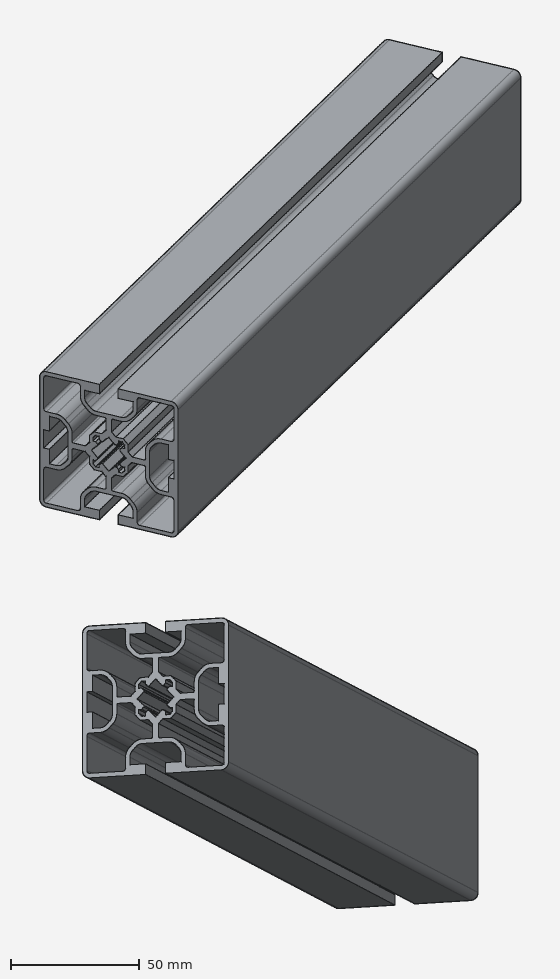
import cadquery as cq
import math

length = 300.0
side = 60.0
half_side = side / 2
wall = 1.8
outer_radius = 3.0

slot_half_width = 4.05
lip_thickness = 4.2
channel_half_width = 10.5
channel_depth = 12.3
channel_chamfer = 3.5
channel_radius = 3.5
lip_height = half_side - lip_thickness
channel_floor = half_side - channel_depth

web_half_width = 1.25
core_half_width = 8.5
core_chamfer = 2.0
web_root_chamfer = 1.8
web_tip_radius = 0.5
lip_root_radius = 1.2

valley_height = 7.5
tooth_tip_start = 2.7
tooth_tip_end = 3.3
tooth_tip_height = 4.8
tooth_side_offset = 4.2
tooth_shoulder_height = 5.7
pocket_half_width = 7.0
pocket_chamfer = 1.2

QUARTER_TURNS = (0, 90, 180, 270)


def rounded_prism(corners):
    """Extrude a closed outline of (x, z, radius) corners over the full length; radius 0 stays sharp."""
    path = []
    for i, (x, z, radius) in enumerate(corners):
        corner = cq.Vector(x, z)
        if radius == 0:
            path.append((corner, None, corner))
            continue
        before = (cq.Vector(*corners[i - 1][:2]) - corner).normalized()
        after = (cq.Vector(*corners[(i + 1) % len(corners)][:2]) - corner).normalized()
        half_angle = before.getAngle(after) / 2
        setback = radius / math.tan(half_angle)
        apex_distance = radius / math.sin(half_angle) - radius
        apex = corner + (before + after).normalized() * apex_distance
        path.append((corner + before * setback, apex, corner + after * setback))

    outline = cq.Workplane("XZ").moveTo(*path[0][2].toTuple()[:2])
    for start, apex, end in path[1:] + path[:1]:
        outline = outline.lineTo(*start.toTuple()[:2])
        if apex is not None:
            outline = outline.threePointArc(apex.toTuple()[:2], end.toTuple()[:2])
    return outline.close().extrude(length / 2, both=True)


def turned(shape, angle):
    """Rotate a shape about the lengthwise axis of the extrusion."""
    return shape.rotate((0, 0, 0), (0, 1, 0), angle)


def channel(slot_top):
    """Channel on the +Z side, with its slot reaching up to slot_top."""
    right_half = [
        (channel_half_width - channel_chamfer, channel_floor, channel_radius),
        (channel_half_width, channel_floor + channel_chamfer, channel_radius),
        (channel_half_width, lip_height, 0),
        (slot_half_width, lip_height, 0),
        (slot_half_width, slot_top, 0),
    ]
    left_half = [(-x, z, radius) for x, z, radius in reversed(right_half)]
    return rounded_prism(right_half + left_half)


def corner_cavity():
    """Cavity in the +X +Z corner, symmetric about the diagonal from core to outer corner."""
    inner_face = half_side - wall
    channel_outside = channel_half_width + wall
    floor_underside = channel_floor - wall
    outer_chamfer = channel_chamfer + wall * (2 - math.sqrt(2))
    upper_half = [
        (core_half_width - core_chamfer, core_half_width, 0),
        (web_half_width + web_root_chamfer, core_half_width, 0),
        (web_half_width, core_half_width + web_root_chamfer, 0),
        (web_half_width, floor_underside, web_tip_radius),
        (channel_outside - outer_chamfer, floor_underside, channel_radius + wall),
        (channel_outside, floor_underside + outer_chamfer, channel_radius + wall),
        (channel_outside, inner_face, lip_root_radius),
    ]
    lower_half = [(z, x, radius) for x, z, radius in reversed(upper_half)]
    outer_corner = (inner_face, inner_face, outer_radius - wall)
    return rounded_prism(upper_half + [outer_corner] + lower_half)


def bore():
    """Central bore with two teeth per side and a chamfered pocket in each corner."""
    half_quarter = [
        (tooth_tip_start, tooth_tip_height),
        (tooth_tip_end, tooth_tip_height),
        (tooth_side_offset, tooth_shoulder_height),
        (tooth_side_offset, pocket_half_width),
        (pocket_half_width - pocket_chamfer, pocket_half_width),
    ]
    quarter = [(0, valley_height)] + half_quarter + [(z, x) for x, z in reversed(half_quarter)]
    outline = []
    for _ in QUARTER_TURNS:
        outline += quarter
        quarter = [(z, -x) for x, z in quarter]
    return rounded_prism([(x, z, 0) for x, z in outline])


result = cq.Workplane("XY").box(side, length, side).edges("|Y").fillet(outer_radius)
result = result.cut(bore())

open_channel = channel(half_side)
closed_channel = channel(half_side - wall)
cavity = corner_cavity()
for angle in QUARTER_TURNS:
    is_open = angle % 180 == 0
    result = result.cut(turned(open_channel if is_open else closed_channel, angle))
    result = result.cut(turned(cavity, angle))